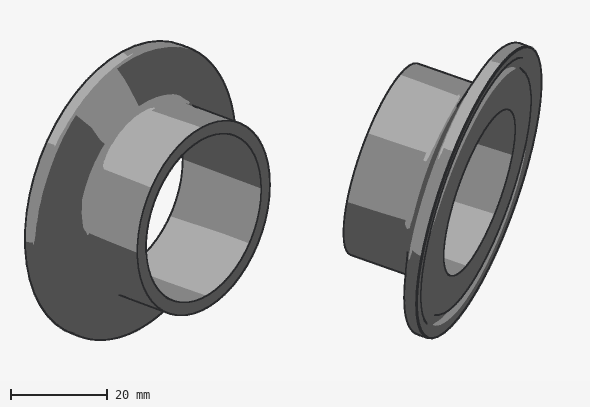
import cadquery as cq
import math

length = 21.5
flange_radius = 32.0
tube_radius = 21.05
bore_radius = 18.25

rim_end = 2.95
cone_angle = 20.0
rim_back_round = 0.8
rim_front_chamfer = 0.2
neck_fillet = 1.9

groove_radius = 28.15
groove_arc = 1.1
groove_edge_round = 0.9
groove_wall_angle = 70.0
groove_wall_length = 0.4


def ring_edge(x, radius):
    """Selector for the circular edge of this size, or smaller, at x."""
    margin = 0.05
    outer = radius + margin
    return cq.selectors.BoxSelector(
        (x - margin, -outer, -outer), (x + margin, outer, outer), boundingbox=True
    )


def flange_body():
    """Flange, conical back and tube, still solid, revolved about the X axis."""
    cone_end = rim_end + (flange_radius - tube_radius) * math.tan(math.radians(cone_angle))
    profile = (
        cq.Workplane("XY")
        .lineTo(0, flange_radius)
        .lineTo(rim_end, flange_radius)
        .lineTo(cone_end, tube_radius)
        .lineTo(length, tube_radius)
        .lineTo(length, 0)
        .close()
    )
    body = profile.revolve(360, (0, 0, 0), (1, 0, 0))
    body = body.edges(ring_edge(cone_end, tube_radius)).fillet(neck_fillet)
    body = body.edges(ring_edge(rim_end, flange_radius)).fillet(rim_back_round)
    return body.faces("<X").edges().chamfer(rim_front_chamfer)


def groove():
    """Ring to cut from the face: a round bottom running through short walls into rounded lips."""
    wall = math.radians(groove_wall_angle)
    wall_run = groove_wall_length * math.cos(wall)
    wall_rise = groove_wall_length * math.sin(wall)
    half_width = (groove_edge_round + groove_arc) * math.sin(wall) + wall_run
    depth = (groove_edge_round + groove_arc) * (1 - math.cos(wall)) + wall_rise
    bottom_start = depth - groove_arc * (1 - math.cos(wall))
    bottom_half_width = groove_arc * math.sin(wall)

    def lip_point(side, angle):
        """Point on a lip where its surface has turned by angle from the face."""
        x = groove_edge_round * (1 - math.cos(angle))
        offset = half_width - groove_edge_round * math.sin(angle)
        return (x, groove_radius + side * offset)

    profile = (
        cq.Workplane("XY")
        .moveTo(*lip_point(-1, 0))
        .threePointArc(lip_point(-1, wall / 2), lip_point(-1, wall))
        .lineTo(bottom_start, groove_radius - bottom_half_width)
        .threePointArc((depth, groove_radius), (bottom_start, groove_radius + bottom_half_width))
        .lineTo(*lip_point(1, wall))
        .threePointArc(lip_point(1, wall / 2), lip_point(1, 0))
        .close()
    )
    return profile.revolve(360, (0, 0, 0), (1, 0, 0))


bore = cq.Workplane("YZ").circle(bore_radius).extrude(length)

result = flange_body().cut(bore).cut(groove())